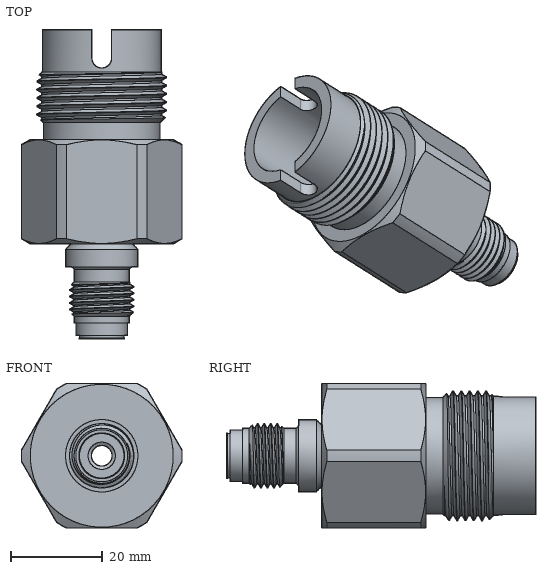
import cadquery as cq
import math


total_length = 67.8
hex_length = 22.9
housing_length = 47.0
nozzle_length = total_length - housing_length

across_flats = 31.75
across_corners = 35.3
hex_face_diameter = 31.3
hex_chamfer_length = 1.15

neck_radius = 12.8
neck_length = 3.65
rim_diameter = 26.1
rim_radius = rim_diameter / 2
housing_thread_length = 11.05
housing_thread_turns = 6.1
housing_thread_pitch = housing_thread_length / housing_thread_turns
housing_root_radius = 13.15
housing_crest_radius = 14.25
housing_thread_phase = 0.9
socket_radius = 10.25
slot_width = 4.3
slot_depth = 8.4

flange_radius = 7.95
flange_chamfer = 1.15
flange_end = 5.0
fillet_cone = 0.55
shank_radius = 6.05
nozzle_thread_start = 8.3
nozzle_thread_length = 7.6
nozzle_thread_pitch = 1.4
nozzle_root_radius = 6.2
nozzle_crest_radius = 7.05
nozzle_thread_phase = 0.8
shank_end = 17.3
tip_radius = 5.7
lip_radius = 4.9
lip_length = 0.8
bead_radius = 5.0
bead_length = 0.2

passage_radius = 2.25
mouth_radius = 3.0
mouth_depth = 0.95
mouth_cone_angle = 118.0
mouth_step = mouth_radius - passage_radius
mouth_cone_length = mouth_step / math.tan(math.radians(mouth_cone_angle / 2))

flank_angle = 30.0
crest_flat = 0.15
root_overlap = 0.15
end_margin = 0.7


def turned(profile):
    """Solid of revolution about Y from (radius, y) points."""
    return cq.Workplane("XY").polyline(profile).close().revolve(360, (0, 0, 0), (0, 1, 0))


def cylinder(radius, y_start, y_end):
    return turned([(0, y_start), (radius, y_start), (radius, y_end), (0, y_end)])


def thread(y_start, length, pitch, root, crest, phase, start_radius, end_radius):
    """Right-handed thread about Y with 45 degree chamfers down to the two end radii."""
    foot = root - root_overlap
    half_crest = crest_flat / 2
    half_foot = half_crest + (crest - foot) * math.tan(math.radians(flank_angle))

    turns = math.ceil(length / pitch) + 2
    helix = cq.Wire.makeHelix(pitch, turns * pitch, foot)
    ridge = (
        cq.Workplane("XZ")
        .polyline([(foot, -half_foot), (crest, -half_crest), (crest, half_crest), (foot, half_foot)])
        .close()
        .sweep(cq.Workplane(helix), isFrenet=True)
        .rotate((0, 0, 0), (1, 0, 0), -90)
        .translate((0, y_start + phase - pitch, 0))
    )

    y_end = y_start + length
    clear = crest + end_margin
    envelope = turned([
        (0, y_start),
        (start_radius, y_start),
        (clear, y_start + clear - start_radius),
        (clear, y_end - clear + end_radius),
        (end_radius, y_end),
        (0, y_end),
    ])
    spare = 3 * pitch
    waste = cylinder(clear, y_start - spare, y_end + spare).cut(envelope)
    core = cylinder(root, y_start - spare, y_end + spare)
    return core.union(ridge).cut(waste)


def make_hexagon():
    corner_to_corner = across_flats / math.cos(math.radians(30))
    prism = cq.Workplane("XZ").polygon(6, corner_to_corner).extrude(-hex_length)
    face_radius = hex_face_diameter / 2
    corner_radius = across_corners / 2
    envelope = turned([
        (0, 0),
        (face_radius, 0),
        (corner_radius, hex_chamfer_length),
        (corner_radius, hex_length - hex_chamfer_length),
        (face_radius, hex_length),
        (0, hex_length),
    ])
    return prism.intersect(envelope)


def make_slot():
    """Round-bottomed slot across the rim, open at the rear and through both walls."""
    half_width = slot_width / 2
    bottom = housing_length - slot_depth
    round_start = bottom + half_width
    return (
        cq.Workplane("XY")
        .moveTo(-half_width, housing_length)
        .lineTo(-half_width, round_start)
        .threePointArc((0, bottom), (half_width, round_start))
        .lineTo(half_width, housing_length)
        .close()
        .extrude(across_flats / 2, both=True)
    )


def make_housing():
    thread_start = hex_length + neck_length
    thread_end = thread_start + housing_thread_length
    neck = cylinder(neck_radius, 0, thread_start)
    rim = cylinder(rim_radius, thread_end, housing_length)
    male_thread = thread(
        thread_start, housing_thread_length, housing_thread_pitch, housing_root_radius,
        housing_crest_radius, housing_thread_phase, neck_radius, housing_root_radius,
    )
    socket = cylinder(socket_radius, hex_length, housing_length)
    passage = cylinder(passage_radius, 0, hex_length)
    body = make_hexagon().union(neck).union(male_thread).union(rim)
    return body.cut(socket).cut(passage).cut(make_slot())


def make_nozzle():
    thread_end = nozzle_thread_start + nozzle_thread_length
    lip_start = nozzle_length - lip_length
    flange_and_shank = turned([
        (0, 0),
        (flange_radius - flange_chamfer, 0),
        (flange_radius, -flange_chamfer),
        (flange_radius, -flange_end),
        (shank_radius + fillet_cone, -flange_end),
        (shank_radius, -flange_end - fillet_cone),
        (shank_radius, -nozzle_thread_start),
        (0, -nozzle_thread_start),
    ])
    male_thread = thread(
        -thread_end, nozzle_thread_length, nozzle_thread_pitch, nozzle_root_radius,
        nozzle_crest_radius, nozzle_thread_phase, shank_radius, shank_radius,
    )
    bead_start = nozzle_length - bead_length
    tip = turned([
        (0, -thread_end),
        (shank_radius, -thread_end),
        (shank_radius, -shank_end),
        (tip_radius, -shank_end),
        (tip_radius, -lip_start),
        (lip_radius, -lip_start),
        (lip_radius, -bead_start),
        (bead_radius, -bead_start),
        (bead_radius, -nozzle_length),
        (0, -nozzle_length),
    ])
    mouth_floor = mouth_depth - nozzle_length
    passage = turned([
        (0, 0),
        (passage_radius, 0),
        (passage_radius, mouth_floor + mouth_cone_length),
        (mouth_radius, mouth_floor),
        (mouth_radius, -nozzle_length),
        (0, -nozzle_length),
    ])
    return flange_and_shank.union(male_thread).union(tip).cut(passage)


housing = make_housing()
nozzle = make_nozzle()

result = cq.Compound.makeCompound([housing.solids().val(), nozzle.solids().val()])